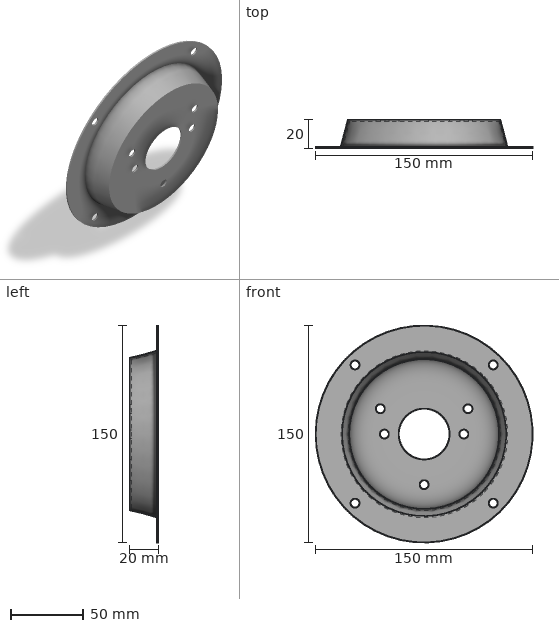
import cadquery as cq
import math

flange_diameter = 150.0
depth = 20.0
sheet = 1.2

rim_diameter = 115.2
floor_diameter = 105.3

bore_diameter = 35.0
bolt_hole_diameter = 6.0
flange_bolt_radius = 67.5
floor_bolt_radius = 35.0
side_hole_offset = 27.5

wall_height = depth - sheet
wall_run = (rim_diameter - floor_diameter) / 2
slope = wall_run / wall_height
radial_wall = sheet * math.hypot(1, slope)
opening_radius = rim_diameter / 2 + slope * sheet - radial_wall
inner_floor_radius = opening_radius - slope * wall_height


def formed_sheet():
    """Revolve the half section on the -X side about the Y axis."""
    section = (
        cq.Workplane("XY")
        .moveTo(0, depth)
        .lineTo(-floor_diameter / 2, depth)
        .lineTo(-rim_diameter / 2, sheet)
        .lineTo(-flange_diameter / 2, sheet)
        .lineTo(-flange_diameter / 2, 0)
        .lineTo(-opening_radius, 0)
        .lineTo(-inner_floor_radius, wall_height)
        .lineTo(0, wall_height)
        .close()
    )
    return section.revolve(360, (0, 0, 0), (0, 1, 0))


def through_holes(diameter, centres):
    """Cylinders through the full depth at the given (X, Z) centres."""
    plane = cq.Workplane("XZ").pushPoints(centres)
    return plane.circle(diameter / 2).extrude(-depth)


def on_circle(radius, count, start_angle):
    """Evenly spaced (X, Z) centres on a circle about the axis."""
    angles = [math.radians(start_angle + i * 360 / count) for i in range(count)]
    return [(radius * math.cos(a), radius * math.sin(a)) for a in angles]


bolt_centres = (
    on_circle(flange_bolt_radius, 4, 45)
    + on_circle(floor_bolt_radius, 3, 30)
    + on_circle(side_hole_offset, 2, 0)
)

result = (
    formed_sheet()
    .cut(through_holes(bore_diameter, [(0, 0)]))
    .cut(through_holes(bolt_hole_diameter, bolt_centres))
)